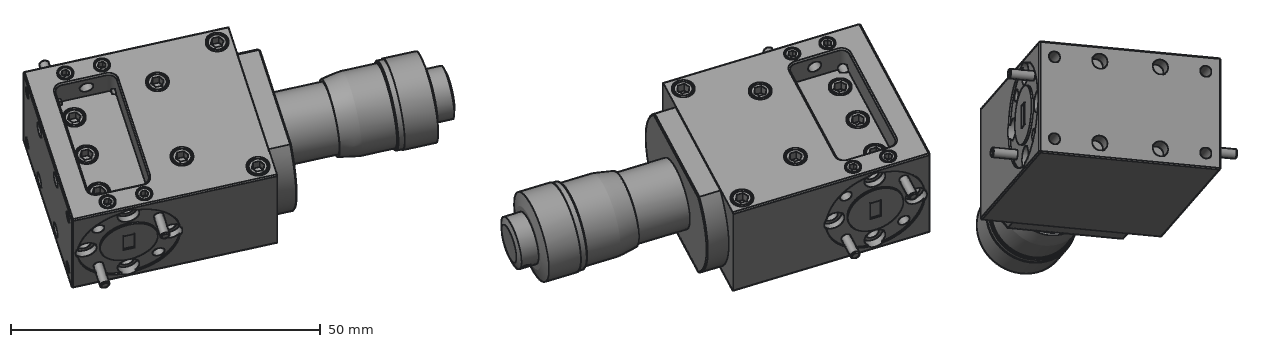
import cadquery as cq
import math


OVERALL_LENGTH = 67.15
OVERALL_WIDTH = 38.2

BLOCK_WIDTH = 30.5
GRID = BLOCK_WIDTH / 12
BLOCK_LENGTH = 13.5 * GRID
BLOCK_HEIGHT = 19.1
BLOCK_CHAMFER = 0.235
SIDE_X = BLOCK_WIDTH / 2
TOP_Z = BLOCK_HEIGHT / 2

POCKET_WIDTH = 22.35
POCKET_FRONT_Y = 4.0
POCKET_BACK_Y = 14.25
POCKET_DEPTH = 4.85
POCKET_FLOOR_Z = TOP_Z - POCKET_DEPTH
POCKET_CORNER_RADIUS = 1.35
POCKET_RIM_CHAMFER = 0.3

LARGE_HEAD = {"radius": 1.9, "gap": 0.4, "socket_radius": 1.1, "socket_depth": 1.7}
SMALL_HEAD = {"radius": 1.35, "gap": 0.3, "socket_radius": 0.7, "socket_depth": 1.35}
SOCKET_SIDES = 6
BACK_SCREW_X = 5 * GRID
BACK_SCREW_Y = BLOCK_LENGTH - GRID
MIDDLE_SCREW_X = 3 * GRID
MIDDLE_SCREW_Y = 20.4
FLOOR_SCREW_Y = 6.5
SMALL_SCREW_X = 13.15
SMALL_SCREW_YS = (FLOOR_SCREW_Y, 12.6)

FLANGE_Y = 3.75 * GRID
FLANGE_RADIUS = 8.6
FLANGE_BOSS_RADIUS = 4.85
FLANGE_RECESS = 0.35
BOLT_CIRCLE_RADIUS = 7.1
THROUGH_BOLT_ANGLES = (90, 270)
BLIND_BOLT_ANGLES = (0, 180)
DOWEL_ANGLES = (45, 135, 225, 315)
BOLT_HOLE_RADIUS = 1.15
BOLT_HOLE_DEPTH = 6.05
BOLT_SPOTFACE_RADIUS = 1.8
BOLT_SPOTFACE_DEPTH = 1.5
DOWEL_HOLE_RADIUS = 1.0
DOWEL_HOLE_DEPTH = 4.7
WAVEGUIDE_WIDTH = 1.9
WAVEGUIDE_HEIGHT = 3.8
WAVEGUIDE_DEPTH = 0.3

PIN_RADIUS = 0.8
PIN_REACH = (OVERALL_WIDTH - BLOCK_WIDTH) / 2
PIN_SEAT_DEPTH = 4.7
PIN_CHAMFER = 0.2

FRONT_HOLE_Z = 2.75 * GRID
FRONT_CORNER_X = 5 * GRID
FRONT_CORNER_RADIUS = 0.95
FRONT_CORNER_DEPTH = 4.7
FRONT_MIDDLE_X = 2 * GRID
FRONT_MIDDLE_RADIUS = 1.3
FRONT_MIDDLE_DEPTH = 2.7

DRILL_POINT_ANGLE = 118

PLATE_RADIUS = 13.35
PLATE_HEIGHT = 18.45
PLATE_THICKNESS = 3.8
PLATE_CHAMFER = 0.2

SLEEVE_RADIUS = 6.05
SLEEVE_LENGTH = 9.0
THIMBLE_NOSE_RADIUS = 6.45
THIMBLE_RADIUS = 7.05
THIMBLE_NOSE_LENGTH = 3.5
THIMBLE_LENGTH = 9.35
NOSE_BULGE = 0.1
COLLAR_RADIUS = 7.6
COLLAR_LIP_RADIUS = 7.45
COLLAR_LIP_LENGTH = 1.2
COLLAR_LIP_CHAMFER = 0.2
COLLAR_LENGTH = 7.3
COLLAR_CROWN_LENGTH = 0.55
COLLAR_END_RADIUS = 5.4
KNOB_RADIUS = 4.4
KNOB_CROWN_LENGTH = 0.4
KNOB_CROWN_WIDTH = 1.2
KNOB_HOLE_RADIUS = 0.8
KNOB_HOLE_DEPTH = 1.0
KNOB_HOLE_TILT = 28
KNOB_HOLE_FROM_END = 1.4

PLATE_END_Y = BLOCK_LENGTH + PLATE_THICKNESS
SLEEVE_END_Y = PLATE_END_Y + SLEEVE_LENGTH
THIMBLE_END_Y = SLEEVE_END_Y + THIMBLE_LENGTH
COLLAR_END_Y = THIMBLE_END_Y + COLLAR_LENGTH


def cylinder(radius, length, start, direction):
    return cq.Solid.makeCylinder(radius, length, cq.Vector(*start), cq.Vector(*direction))


def drilled_hole(radius, depth, start, direction):
    """A blind hole that ends in a drill point."""
    point_length = radius / math.tan(math.radians(DRILL_POINT_ANGLE / 2))
    bottom = cq.Vector(*start) + cq.Vector(*direction) * depth
    point = cq.Solid.makeCone(radius, 0, point_length, bottom, cq.Vector(*direction))
    return cylinder(radius, depth, start, direction).fuse(point)


def turned(profile):
    """A round shape from its half profile, turned about the second axis of the profile's plane."""
    return profile.close().revolve(360, (0, 0, 0), (0, 1, 0))


def flange_point(side, angle):
    """A point of the bolt circle on the face at X = side * SIDE_X; angle 0 points to +Y."""
    turn = math.radians(angle)
    y = FLANGE_Y + BOLT_CIRCLE_RADIUS * math.cos(turn)
    return (side * SIDE_X, y, BOLT_CIRCLE_RADIUS * math.sin(turn))


def pin_angles(side):
    """Opposite corners that carry pins, so that two flanges mate face to face."""
    return DOWEL_ANGLES[0::2] if side > 0 else DOWEL_ANGLES[1::2]


def make_block():
    block = cq.Workplane("XY").box(BLOCK_WIDTH, BLOCK_LENGTH, BLOCK_HEIGHT, centered=(True, False, True))
    return block.edges("|Y or <Y").chamfer(BLOCK_CHAMFER)


def cut_pocket(housing):
    length = POCKET_BACK_Y - POCKET_FRONT_Y
    pocket = (
        cq.Workplane("XY", origin=(0, POCKET_FRONT_Y + length / 2, POCKET_FLOOR_Z))
        .rect(POCKET_WIDTH, length)
        .extrude(POCKET_DEPTH)
        .edges("|Z")
        .fillet(POCKET_CORNER_RADIUS)
    )
    housing = housing.cut(pocket)
    rim = housing.faces(">Z").val().innerWires()[0]
    return housing.newObject(rim.Edges()).chamfer(POCKET_RIM_CHAMFER)


def screw_head_cut(head, x, y, z):
    outer = head["radius"]
    gap = head["gap"]
    ring = turned(
        cq.Workplane("XZ").moveTo(outer, 0).lineTo(outer - gap, 0).lineTo(outer - gap / 2, -gap / 2)
    )
    hexagon = cq.Workplane("XY").polygon(SOCKET_SIDES, 2 * head["socket_radius"])
    socket = hexagon.extrude(-head["socket_depth"]).rotate((0, 0, 0), (0, 0, 1), 90)
    return ring.union(socket).translate((x, y, z))


def cut_screw_heads(housing):
    places = [(LARGE_HEAD, x, FLOOR_SCREW_Y, POCKET_FLOOR_Z) for x in (-MIDDLE_SCREW_X, 0, MIDDLE_SCREW_X)]
    for side in (-1, 1):
        places.append((LARGE_HEAD, side * BACK_SCREW_X, BACK_SCREW_Y, TOP_Z))
        places.append((LARGE_HEAD, side * MIDDLE_SCREW_X, MIDDLE_SCREW_Y, TOP_Z))
        places += [(SMALL_HEAD, side * SMALL_SCREW_X, y, TOP_Z) for y in SMALL_SCREW_YS]
    for place in places:
        housing = housing.cut(screw_head_cut(*place))
    return housing


def cut_flange(housing, side):
    inward = (-side, 0, 0)
    centre = (side * SIDE_X, FLANGE_Y, 0)
    recess = cylinder(FLANGE_RADIUS, FLANGE_RECESS, centre, inward)
    recess = recess.cut(cylinder(FLANGE_BOSS_RADIUS, FLANGE_RECESS, centre, inward))
    housing = housing.cut(cq.Workplane(recess))

    waveguide = cq.Workplane("XY").box(2 * WAVEGUIDE_DEPTH, WAVEGUIDE_WIDTH, WAVEGUIDE_HEIGHT)
    housing = housing.cut(waveguide.translate(centre))

    for angle in THROUGH_BOLT_ANGLES + BLIND_BOLT_ANGLES:
        start = flange_point(side, angle)
        spotface = cylinder(BOLT_SPOTFACE_RADIUS, BOLT_SPOTFACE_DEPTH, start, inward)
        housing = housing.cut(cq.Workplane(spotface))
        if angle in THROUGH_BOLT_ANGLES:
            hole = cylinder(BOLT_HOLE_RADIUS, BLOCK_WIDTH, start, inward)
        else:
            hole = drilled_hole(BOLT_HOLE_RADIUS, BOLT_HOLE_DEPTH, start, inward)
        housing = housing.cut(cq.Workplane(hole))

    for angle in DOWEL_ANGLES:
        start = flange_point(side, angle)
        if angle in pin_angles(side):
            hole = cylinder(PIN_RADIUS, PIN_SEAT_DEPTH, start, inward)
        else:
            hole = drilled_hole(DOWEL_HOLE_RADIUS, DOWEL_HOLE_DEPTH, start, inward)
        housing = housing.cut(cq.Workplane(hole))
    return housing


def cut_front_holes(housing):
    for x_side in (-1, 1):
        for z_side in (-1, 1):
            z = z_side * FRONT_HOLE_Z
            corner = drilled_hole(
                FRONT_CORNER_RADIUS, FRONT_CORNER_DEPTH, (x_side * FRONT_CORNER_X, 0, z), (0, 1, 0)
            )
            middle = cylinder(
                FRONT_MIDDLE_RADIUS, FRONT_MIDDLE_DEPTH, (x_side * FRONT_MIDDLE_X, 0, z), (0, 1, 0)
            )
            housing = housing.cut(cq.Workplane(corner)).cut(cq.Workplane(middle))
    return housing


def make_housing():
    housing = cut_pocket(make_block())
    housing = cut_screw_heads(housing)
    for side in (-1, 1):
        housing = cut_flange(housing, side)
    return cut_front_holes(housing)


def make_pin(side, angle):
    x, y, z = flange_point(side, angle)
    start = (x - side * PIN_SEAT_DEPTH, y, z)
    pin = cq.Workplane(cylinder(PIN_RADIUS, PIN_SEAT_DEPTH + PIN_REACH, start, (side, 0, 0)))
    return pin.faces(">X" if side > 0 else "<X").chamfer(PIN_CHAMFER)


def make_plate():
    disc = cq.Workplane(cylinder(PLATE_RADIUS, PLATE_THICKNESS, (0, BLOCK_LENGTH, 0), (0, 1, 0)))
    slab = cq.Workplane("XY").box(2 * PLATE_RADIUS, 2 * PLATE_END_Y, PLATE_HEIGHT)
    return disc.intersect(slab).faces(">Y").chamfer(PLATE_CHAMFER)


def make_sleeve():
    return cq.Workplane(cylinder(SLEEVE_RADIUS, SLEEVE_LENGTH, (0, PLATE_END_Y, 0), (0, 1, 0)))


def make_thimble():
    nose_end_y = SLEEVE_END_Y + THIMBLE_NOSE_LENGTH
    nose_middle = (
        (THIMBLE_NOSE_RADIUS + THIMBLE_RADIUS) / 2 + NOSE_BULGE,
        SLEEVE_END_Y + THIMBLE_NOSE_LENGTH / 2,
    )
    return turned(
        cq.Workplane("XY")
        .moveTo(0, SLEEVE_END_Y)
        .lineTo(THIMBLE_NOSE_RADIUS, SLEEVE_END_Y)
        .threePointArc(nose_middle, (THIMBLE_RADIUS, nose_end_y))
        .lineTo(THIMBLE_RADIUS, THIMBLE_END_Y)
        .lineTo(0, THIMBLE_END_Y)
    )


def make_collar():
    lip_end_y = THIMBLE_END_Y + COLLAR_LIP_LENGTH
    return turned(
        cq.Workplane("XY")
        .moveTo(0, THIMBLE_END_Y)
        .lineTo(COLLAR_LIP_RADIUS - COLLAR_LIP_CHAMFER, THIMBLE_END_Y)
        .lineTo(COLLAR_LIP_RADIUS, THIMBLE_END_Y + COLLAR_LIP_CHAMFER)
        .lineTo(COLLAR_LIP_RADIUS, lip_end_y)
        .lineTo(COLLAR_RADIUS, lip_end_y)
        .lineTo(COLLAR_RADIUS, COLLAR_END_Y - COLLAR_CROWN_LENGTH)
        .lineTo(COLLAR_END_RADIUS, COLLAR_END_Y)
        .lineTo(0, COLLAR_END_Y)
    )


def make_knob():
    knob = turned(
        cq.Workplane("XY")
        .moveTo(0, COLLAR_END_Y)
        .lineTo(KNOB_RADIUS, COLLAR_END_Y)
        .lineTo(KNOB_RADIUS, OVERALL_LENGTH - KNOB_CROWN_LENGTH)
        .lineTo(KNOB_RADIUS - KNOB_CROWN_WIDTH, OVERALL_LENGTH)
        .lineTo(0, OVERALL_LENGTH)
    )
    tilt = math.radians(KNOB_HOLE_TILT)
    inward = (math.cos(tilt), 0, math.sin(tilt))
    start = (-KNOB_RADIUS * inward[0], OVERALL_LENGTH - KNOB_HOLE_FROM_END, -KNOB_RADIUS * inward[2])
    return knob.cut(cq.Workplane(drilled_hole(KNOB_HOLE_RADIUS, KNOB_HOLE_DEPTH, start, inward)))


housing = make_housing()
pins = [make_pin(side, angle) for side in (-1, 1) for angle in pin_angles(side)]
plate = make_plate()
sleeve = make_sleeve()
thimble = make_thimble()
collar = make_collar()
knob = make_knob()

result = cq.Compound.makeCompound([
    housing.val(),
    *[pin.val() for pin in pins],
    plate.val(),
    sleeve.val(),
    thimble.val(),
    collar.val(),
    knob.val(),
])